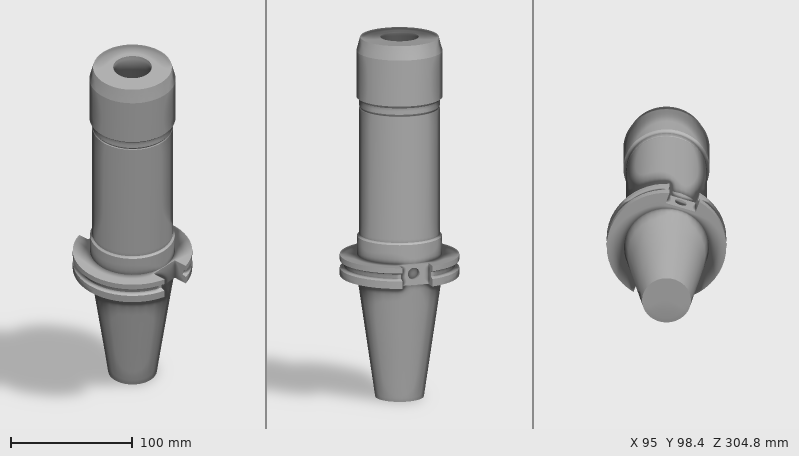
import cadquery as cq
import math


gauge_diameter = 69.85
taper_length = 101.6
taper_ratio = 7 / 24
shank_end_diameter = gauge_diameter - taper_ratio * taper_length

flange_diameter = 98.425
flange_bottom = 1.5
flange_top = 19.05
groove_diameter = 91.44
groove_center = 11.1
groove_floor_width = 3.8
groove_flank_angle = 22.0

slot_width = 25.908
slot_floor_left = 37.7
slot_floor_right = 35.3
slot_hole_diameter = 10.0
slot_hole_depth = 5.0

collar_diameter = gauge_diameter
collar_top = 35.0
neck_diameter = 66.4
collar_cone_top = 36.5

nose_height = 203.2
relief_bottom = 143.3
relief_diameter = 63.5
relief_top = 145.2
head_neck_top = 150.6
head_bottom = 152.7
head_diameter = 71.0
nose_taper_height = 11.5
nose_taper_angle = 15.0

bore_diameter = 31.75
bore_depth = 80.0


def make_body():
    """Revolve the half profile of shank, flange, neck and head about Z."""
    flange_radius = flange_diameter / 2
    groove_radius = groove_diameter / 2
    neck_radius = neck_diameter / 2
    head_radius = head_diameter / 2
    half_floor = groove_floor_width / 2
    flank_height = (flange_radius - groove_radius) * math.tan(math.radians(groove_flank_angle))
    half_mouth = half_floor + flank_height
    nose_radius = head_radius - nose_taper_height * math.tan(math.radians(nose_taper_angle))

    profile = [
        (0, -taper_length),
        (shank_end_diameter / 2, -taper_length),
        (gauge_diameter / 2, 0),
        (gauge_diameter / 2, flange_bottom),
        (flange_radius, flange_bottom),
        (flange_radius, groove_center - half_mouth),
        (groove_radius, groove_center - half_floor),
        (groove_radius, groove_center + half_floor),
        (flange_radius, groove_center + half_mouth),
        (flange_radius, flange_top),
        (collar_diameter / 2, flange_top),
        (collar_diameter / 2, collar_top),
        (neck_radius, collar_cone_top),
        (neck_radius, relief_bottom),
        (relief_diameter / 2, relief_bottom),
        (neck_radius, relief_top),
        (neck_radius, head_neck_top),
        (head_radius, head_bottom),
        (head_radius, nose_height - nose_taper_height),
        (nose_radius, nose_height),
        (0, nose_height),
    ]
    return cq.Workplane("XZ").polyline(profile).close().revolve(360, (0, 0, 0), (0, 1, 0))


def make_drive_slot(side, floor_distance):
    """Slot cutter through the flange on one side (-1 or +1 along X)."""
    slot_depth = flange_diameter / 2 - floor_distance
    flange_height = flange_top - flange_bottom
    return (
        cq.Workplane("XY")
        .box(slot_depth, slot_width, flange_height)
        .translate((side * (floor_distance + slot_depth / 2), 0, flange_bottom + flange_height / 2))
    )


def make_slot_hole():
    """Blind hole bored radially inward from the left slot floor."""
    return (
        cq.Workplane("YZ", origin=(-slot_floor_left, 0, 0))
        .center(0, groove_center)
        .circle(slot_hole_diameter / 2)
        .extrude(slot_hole_depth)
    )


def make_bore():
    """Blind tool bore, open at the nose."""
    return (
        cq.Workplane("XY", origin=(0, 0, nose_height))
        .circle(bore_diameter / 2)
        .extrude(-bore_depth)
    )


result = (
    make_body()
    .cut(make_drive_slot(-1, slot_floor_left))
    .cut(make_drive_slot(1, slot_floor_right))
    .cut(make_slot_hole())
    .cut(make_bore())
)